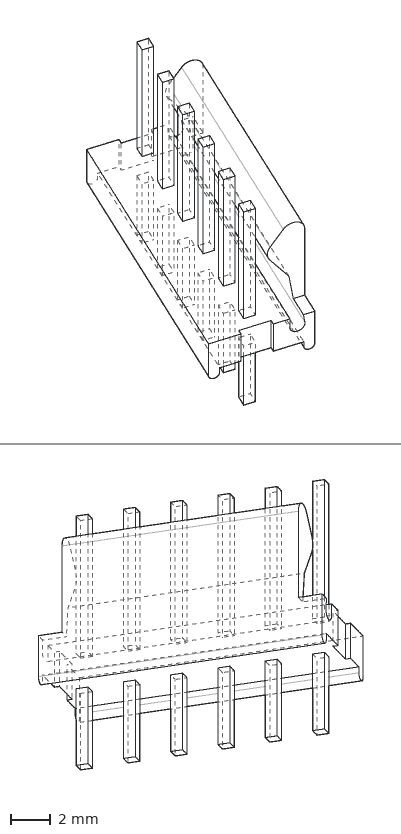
import cadquery as cq
import math

pin_count = 6
length = 15.24
pitch = length / pin_count
depth = 5.84
body_height = 1.92

foot_width = 0.61
foot_drop = 0.62
foot_radius = foot_width / 2

notch_depth = 0.27
notch_width = 1.77
notch_center_y = 2.67

pin_width = 0.64
pin_y = 2.67
pin_top = 9.42
pin_length = 13.6

slot_radius = 0.41
slot_center = (depth - 0.96, 1.31)

latch_length = length - pitch
latch_top = 7.27
crown_radius = 0.65
crown_center = (depth - crown_radius, latch_top - crown_radius)
nose_radius = 0.76
nose_reach = 2.05
nose_center = (depth - nose_reach + nose_radius, 5.58)
neck = (depth - 0.87, 3.58)


def on_circle(center, radius, angle):
    return (center[0] + radius * math.cos(angle), center[1] + radius * math.sin(angle))


def tangent_angle(start, start_radius, end, end_radius, side):
    """Angle of the common normal of a line touching two circles on one side.

    side is +1 for the left of the path from start to end, -1 for the right.
    """
    dy = end[0] - start[0]
    dz = end[1] - start[1]
    swing = math.acos((start_radius - end_radius) / math.hypot(dy, dz))
    return math.atan2(dz, dy) + side * swing


def housing():
    """Body, feet and latch as one extruded YZ section, with the latch cut back at its ends."""
    wall_normal = tangent_angle(slot_center, slot_radius, neck, 0, -1)
    lower_normal = tangent_angle(neck, 0, nose_center, nose_radius, 1)
    upper_normal = tangent_angle(nose_center, nose_radius, crown_center, crown_radius, 1)
    crown_middle = (upper_normal % math.tau) / 2
    slot_front = slot_center[0] - slot_radius

    section = (
        cq.Workplane("YZ", origin=(-length / 2, 0, 0))
        .moveTo(0, body_height)
        .lineTo(slot_front, body_height)
        .lineTo(slot_front, slot_center[1])
        .threePointArc(
            on_circle(slot_center, slot_radius, -math.pi / 2),
            on_circle(slot_center, slot_radius, wall_normal),
        )
        .lineTo(*neck)
        .lineTo(*on_circle(nose_center, nose_radius, lower_normal))
        .threePointArc(
            (depth - nose_reach, nose_center[1]),
            on_circle(nose_center, nose_radius, upper_normal),
        )
        .lineTo(*on_circle(crown_center, crown_radius, upper_normal))
        .threePointArc(
            on_circle(crown_center, crown_radius, crown_middle),
            (depth, crown_center[1]),
        )
        .lineTo(depth, foot_radius - foot_drop)
        .threePointArc(
            (depth - foot_radius, -foot_drop),
            (depth - foot_width, foot_radius - foot_drop),
        )
        .lineTo(depth - foot_width, 0)
        .lineTo(foot_width, 0)
        .lineTo(foot_width, foot_radius - foot_drop)
        .threePointArc((foot_radius, -foot_drop), (0, foot_radius - foot_drop))
        .close()
    )
    solid = section.extrude(length)

    end_gap = (length - latch_length) / 2
    for side in (-1, 1):
        end_space = cq.Workplane("XY").box(
            end_gap, depth, latch_top - body_height, centered=(True, False, False)
        )
        end_x = side * (length - end_gap) / 2
        solid = solid.cut(end_space.translate((end_x, 0, body_height)))
    return solid


def end_notches():
    """Shallow full-height recesses in the middle of both end faces."""
    return (
        cq.Workplane("XY")
        .pushPoints([(-length / 2, notch_center_y), (length / 2, notch_center_y)])
        .rect(2 * notch_depth, notch_width)
        .extrude(body_height)
    )


def pins():
    first_x = (pitch - length) / 2
    centers = [(first_x + i * pitch, pin_y) for i in range(pin_count)]
    return (
        cq.Workplane("XY", origin=(0, 0, pin_top - pin_length))
        .pushPoints(centers)
        .rect(pin_width, pin_width)
        .extrude(pin_length)
    )


result = housing().cut(end_notches()).union(pins())